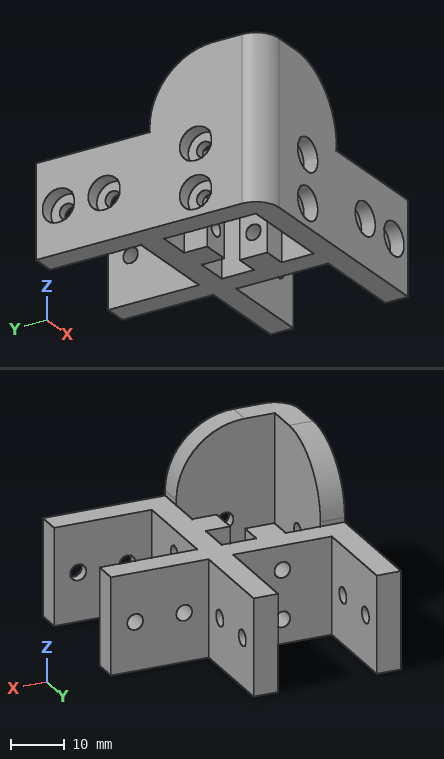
import cadquery as cq

size = 50.2
wall = 5.0
arm_length = 20.0
wall_height = 20.0
total_height = 35.0
cheek_radius = 14.0
tab_width = 6.0
tab_depth = 5.0
hole_diameter = 3.2
bore_diameter = 7.0
bore_depth = 3.0
hole_pitch = 10.05

inner = size - arm_length - wall
socket_center = (wall + inner) / 2
arm_center = size - arm_length / 2
mid_height = wall_height / 2


def box(x, y, length, width):
    """Wall-height block with its lowest corner at (x, y, 0)."""
    return cq.Workplane("XY").box(length, width, wall_height, centered=False).translate((x, y, 0))


def swap_xy(shape):
    """Mirror a shape across the vertical plane X = Y."""
    return shape.mirror("XZ").rotate((0, 0, 0), (0, 0, 1), 90)


def cheek():
    """Raised plate above the front wall with one rounded top corner."""
    return (
        cq.Workplane("XZ")
        .lineTo(inner, 0)
        .lineTo(inner, total_height - cheek_radius)
        .radiusArc((inner - cheek_radius, total_height), -cheek_radius)
        .lineTo(0, total_height)
        .close()
        .extrude(-wall)
    )


def half_body():
    """Walls running along X, the front cheek and the tab on the inner wall."""
    front_wall = box(0, 0, size, wall)
    inner_wall = box(0, inner, size, wall)
    tab = box(socket_center - tab_width / 2, inner - tab_depth, tab_width, tab_depth)
    return front_wall.union(inner_wall).union(tab).union(cheek())


def screw_holes():
    """Holes along Y through both walls, counterbored in the front face."""
    points = [
        (socket_center, mid_height - hole_pitch / 2),
        (socket_center, mid_height + hole_pitch / 2),
        (arm_center - hole_pitch / 2, mid_height),
        (arm_center + hole_pitch / 2, mid_height),
    ]
    face = cq.Workplane("XZ").pushPoints(points)
    holes = face.circle(hole_diameter / 2).extrude(-size)
    bores = face.circle(bore_diameter / 2).extrude(-bore_depth)
    return holes.union(bores)


body = half_body()
body = body.union(swap_xy(body))

corner_edge = cq.selectors.NearestToPointSelector((0, 0, total_height / 2))
body = body.edges(corner_edge).fillet(wall)

holes = screw_holes()
result = body.cut(holes).cut(swap_xy(holes))